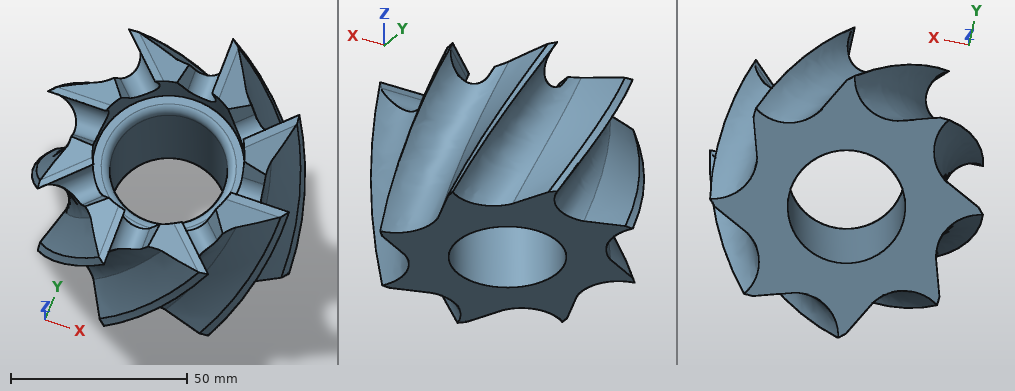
import cadquery as cq
import math

tooth_count = 8
tooth_pitch = 360 / tooth_count
height = 49.5
tip_radius = 38.85
helix_twist = 45
bore_radius = 16.7
bore_rounding = 2.5
recess_radius = 21.6
recess_depth = 12.2

rake_offset = 5.6
land_width = 2.25
tooth_tip = (-rake_offset, -math.sqrt(tip_radius**2 - rake_offset**2))
land_heel = (-7.5, -36.75)
flute_middle = (-1.2, -30.5)
flute_end = (9.0, -27.8)

land_drop = 0.3
relief_angle = 17.5
gullet_depth = 8.4
gullet_radius = 4.8
gullet_center_offset = 3.6
gullet_flank_angle = 58
clearance = 3.9
reach = tip_radius + clearance


def around(point, index):
    """Turn a point about the origin by a number of tooth pitches."""
    angle = math.radians(index * tooth_pitch)
    x, y = point
    return (x * math.cos(angle) - y * math.sin(angle), x * math.sin(angle) + y * math.cos(angle))


def make_toothed_body():
    outline = cq.Workplane("XY").moveTo(*tooth_tip)
    for index in range(tooth_count):
        outline = outline.threePointArc(around(flute_middle, index), around(flute_end, index))
        outline = outline.lineTo(*around(land_heel, index + 1))
        if index < tooth_count - 1:
            outline = outline.lineTo(*around(tooth_tip, index + 1))
    return outline.close().twistExtrude(height, helix_twist)


def make_bore():
    """Through bore, rounded where it meets the floor of the wider top recess."""
    floor = height - recess_depth
    rounding_start = floor - bore_rounding
    mid_offset = bore_rounding * (1 - math.sqrt(0.5))
    profile = (
        cq.Workplane("XZ")
        .moveTo(0, -clearance)
        .lineTo(bore_radius, -clearance)
        .lineTo(bore_radius, rounding_start)
        .threePointArc((bore_radius + mid_offset, floor - mid_offset), (bore_radius + bore_rounding, floor))
        .lineTo(recess_radius, floor)
        .lineTo(recess_radius, height + clearance)
        .lineTo(0, height + clearance)
        .close()
    )
    return profile.revolve(360, (0, 0, 0), (0, 1, 0))


def make_gullet():
    """Radial groove in front of a tooth: undercut rake wall, round floor, sloped flank."""
    top = height + clearance
    center_x = gullet_center_offset - rake_offset
    center_depth = gullet_depth - gullet_radius
    center_z = height - center_depth

    edge_distance = math.hypot(gullet_center_offset, center_depth)
    undercut_angle = math.asin(gullet_radius / edge_distance) - math.atan2(gullet_center_offset, center_depth)
    wall_x = center_x - gullet_radius * math.cos(undercut_angle)
    wall_z = center_z + gullet_radius * math.sin(undercut_angle)

    flank_angle = math.radians(gullet_flank_angle)
    flank_x = center_x + gullet_radius * math.sin(flank_angle)
    flank_z = center_z - gullet_radius * math.cos(flank_angle)
    return (
        cq.Workplane("XZ")
        .moveTo(-rake_offset, top)
        .lineTo(-rake_offset, height)
        .lineTo(wall_x, wall_z)
        .threePointArc((center_x, center_z - gullet_radius), (flank_x, flank_z))
        .lineTo(flank_x + (top - flank_z) / math.tan(flank_angle), top)
        .close()
        .extrude(reach)
    )


def make_relief():
    """Space above the land and sloped top of a tooth, ending at the rake wall of the tooth behind."""
    land_back = -rake_offset - land_width
    slope_drop = (reach + land_back) * math.tan(math.radians(relief_angle))
    space = (
        cq.Workplane("XZ")
        .moveTo(-rake_offset, height)
        .lineTo(land_back, height - land_drop)
        .lineTo(-reach, height - land_drop - slope_drop)
        .lineTo(-reach, height + clearance)
        .lineTo(-rake_offset, height + clearance)
        .close()
        .extrude(reach)
    )
    ahead_of_rake = (
        cq.Workplane("XY")
        .box(2 * reach, reach, height + clearance, centered=False)
        .translate((-rake_offset, -reach, 0))
        .rotate((0, 0, 0), (0, 0, 1), -tooth_pitch)
    )
    return space.intersect(ahead_of_rake)


result = make_toothed_body().cut(make_bore())
for cutter in (make_gullet(), make_relief()):
    for index in range(tooth_count):
        result = result.cut(cutter.rotate((0, 0, 0), (0, 0, 1), index * tooth_pitch))